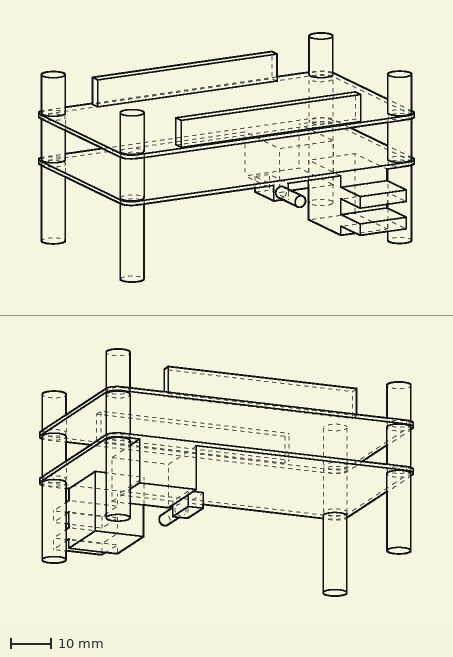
import cadquery as cq

board_width = 48.0
board_length = 83.0
board_thickness = 1.0
board_corner_radius = 3.0
lower_board_bottom = 20.0
upper_board_bottom = 32.0
upper_board_top = upper_board_bottom + board_thickness
board_edge = board_width / 2

post_diameter = 6.0
post_height = 43.0
post_inset = 3.5

header_width = 2.8
header_length = 51.0
header_height = 7.0
header_edge_gap = 0.8

box_width = 17.9
box_length = 15.35
box_height = 11.4
box_center_y = 26.0

socket_width = 16.9
socket_length = 13.1
socket_height = 15.4
plug_reach = 10.05
plug_thickness = 3.0
plug_spacing = 7.05
lower_plug_bottom = 7.0

jack_width = 9.9
jack_size = 4.1
jack_center_y = 2.4
pin_diameter = 3.0


def block(x_min, y_center, z_min, width, length, height):
    """Box placed by its lowest X and Z faces and its middle in Y."""
    return (
        cq.Workplane("XY")
        .box(width, length, height, centered=(False, True, False))
        .translate((x_min, y_center, z_min))
    )


def hanging_block(x_min, y_center, width, length, height):
    """Box fixed to the underside of the lower board."""
    return block(x_min, y_center, lower_board_bottom - height, width, length, height)


def board(z_min):
    plate = block(-board_edge, 0, z_min, board_width, board_length, board_thickness)
    return plate.edges("|Z").fillet(board_corner_radius)


def posts():
    return (
        cq.Workplane("XY")
        .rect(board_width - 2 * post_inset, board_length - 2 * post_inset, forConstruction=True)
        .vertices()
        .circle(post_diameter / 2)
        .extrude(post_height)
    )


def header(x_min):
    return block(x_min, 0, upper_board_top, header_width, header_length, header_height)


def double_socket():
    body = hanging_block(
        board_edge - socket_width, box_center_y, socket_width, socket_length, socket_height
    )
    for level in range(2):
        plug_bottom = lower_plug_bottom + level * plug_spacing
        plug = block(
            board_edge, box_center_y, plug_bottom, plug_reach, socket_length, plug_thickness
        )
        body = body.union(plug)
    return body


def pin_jack():
    body = hanging_block(board_edge - jack_width, jack_center_y, jack_width, jack_size, jack_size)
    pin_center_z = lower_board_bottom - jack_size / 2
    pin = (
        cq.Workplane("YZ", origin=(board_edge, jack_center_y, pin_center_z))
        .circle(pin_diameter / 2)
        .extrude(plug_reach)
    )
    return body.union(pin)


result = posts()
for board_bottom in (lower_board_bottom, upper_board_bottom):
    result = result.union(board(board_bottom))
for header_x in (-board_edge + header_edge_gap, board_edge - header_edge_gap - header_width):
    result = result.union(header(header_x))
result = result.union(hanging_block(-board_edge, box_center_y, box_width, box_length, box_height))
result = result.union(double_socket())
result = result.union(pin_jack())